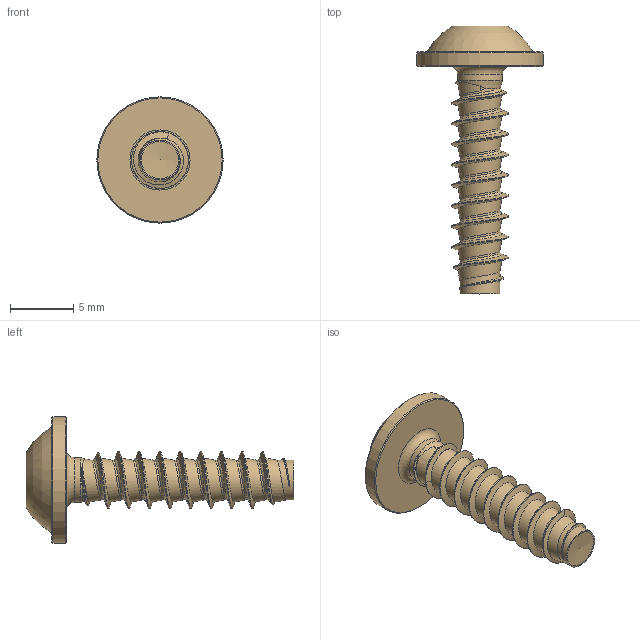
import cadquery as cq
import math


flange_radius = 5.0
flange_thickness = 1.15
flange_edge_chamfer = 0.08
head_height = 3.2
dome_base_radius = 4.17
dome_top_radius = 2.15

shank_length = 18.0
dimple_radius = 1.48
dimple_depth = 0.1
neck_radius = 1.78
neck_fillet = 0.6
neck_length = 1.1
neck_taper_end = 1.76
core_radius = 1.58

pitch = 1.63
crest_radius = 2.25
crest_half_width = 0.03
upper_flank_angle = 20.0
lower_flank_angle = 15.0
buried_radius = 1.5
first_crest_z = 2.08
thread_start_radius = 1.83
thread_start_turn = -0.75
thread_full_turn = 0.5
thread_fade_turn = 8.2
thread_end_turn = 9.55

root_radius = 1.74
foot_start = -0.40
land_start = -0.21
land_end = 0.15
fall_end = 1.08
root_start_turn = -1.0
root_full_turn = -0.75
root_fade_turn = 8.75
root_end_turn = 9.05


def dome_center_height():
    """Axial position of the dome sphere centre, from its base and top circles."""
    base_square = dome_base_radius**2 + flange_thickness**2
    top_square = dome_top_radius**2 + head_height**2
    return (top_square - base_square) / (2 * (head_height - flange_thickness))


def make_blank():
    """Head, neck and core with its dimpled end as one body of revolution."""
    center = dome_center_height()
    sphere_radius = math.hypot(dome_base_radius, flange_thickness - center)
    arc_radius = (dome_base_radius + dome_top_radius) / 2
    arc_height = center + math.sqrt(sphere_radius**2 - arc_radius**2)
    fillet_offset = neck_fillet * (1 - math.sqrt(0.5))
    chamfered_radius = flange_radius - flange_edge_chamfer
    dimple_sphere = (dimple_radius**2 + dimple_depth**2) / (2 * dimple_depth)
    dimple_mid_radius = dimple_radius / 2
    dimple_sag = dimple_sphere - math.sqrt(dimple_sphere**2 - dimple_mid_radius**2)
    dimple_mid_height = shank_length - dimple_depth + dimple_sag
    profile = (
        cq.Workplane("XZ")
        .moveTo(0, -head_height)
        .lineTo(dome_top_radius, -head_height)
        .threePointArc((arc_radius, -arc_height), (dome_base_radius, -flange_thickness))
        .lineTo(chamfered_radius, -flange_thickness)
        .lineTo(flange_radius, flange_edge_chamfer - flange_thickness)
        .lineTo(flange_radius, -flange_edge_chamfer)
        .lineTo(chamfered_radius, 0)
        .lineTo(neck_radius + neck_fillet, 0)
        .threePointArc((neck_radius + fillet_offset, fillet_offset), (neck_radius, neck_fillet))
        .lineTo(neck_radius, neck_length)
        .lineTo(core_radius, neck_taper_end)
        .lineTo(core_radius, shank_length)
        .lineTo(dimple_radius, shank_length)
        .threePointArc((dimple_mid_radius, dimple_mid_height), (0, shank_length - dimple_depth))
        .close()
    )
    return profile.revolve(360, (0, 0, 0), (0, 1, 0))


def helix_edge(axial_offset, start_radius, end_radius, start_turn, end_turn):
    """Cylindrical or conical right-hand helix between two turn counts."""
    turns = end_turn - start_turn
    height = turns * pitch
    taper = math.atan2(end_radius - start_radius, height)
    slant = 1 / math.cos(taper)
    if taper == 0:
        helix = cq.Wire.makeHelix(pitch, height, start_radius)
    else:
        cone_angle = math.degrees(taper)
        helix = cq.Wire.makeHelix(pitch * slant, height * slant, start_radius, angle=cone_angle)
    helix = helix.rotate(cq.Vector(0, 0, 0), cq.Vector(0, 0, 1), 360 * start_turn)
    start_z = first_crest_z + start_turn * pitch + axial_offset
    return helix.translate(cq.Vector(0, 0, start_z)).Edges()[0]


def helical_ridge(profile, stations):
    """Solid ridge following the thread helix.

    profile: closed list of (axial offset, radius) corners.
    stations: (turn, radial shift of the profile) pairs, linear in between.
    """
    faces = []
    for (start_turn, start_shift), (end_turn, end_shift) in zip(stations, stations[1:]):
        edges = [
            helix_edge(offset, radius + start_shift, radius + end_shift, start_turn, end_turn)
            for offset, radius in profile
        ]
        for edge, next_edge in zip(edges, edges[1:] + edges[:1]):
            faces.append(cq.Face.makeRuledSurface(edge, next_edge))
    for turn, shift in (stations[0], stations[-1]):
        corners = []
        for offset, radius in profile:
            angle = 2 * math.pi * turn
            reach = radius + shift
            height = first_crest_z + turn * pitch + offset
            corners.append(cq.Vector(reach * math.cos(angle), reach * math.sin(angle), height))
        faces.append(cq.Face.makeFromWires(cq.Wire.makePolygon(corners, close=True)))
    return cq.Solid.makeSolid(cq.Shell.makeShell(faces))


def make_thread():
    """Sharp thread that emerges below the neck and sinks into the core near the end."""
    depth = crest_radius - buried_radius
    upper_foot = crest_half_width + depth * math.tan(math.radians(upper_flank_angle))
    lower_foot = crest_half_width + depth * math.tan(math.radians(lower_flank_angle))
    profile = [
        (-upper_foot, buried_radius),
        (-crest_half_width, crest_radius),
        (crest_half_width, crest_radius),
        (lower_foot, buried_radius),
    ]
    stations = [
        (thread_start_turn, thread_start_radius - crest_radius),
        (thread_full_turn, 0),
        (thread_fade_turn, 0),
        (thread_end_turn, core_radius - crest_radius),
    ]
    ridge = cq.Workplane(helical_ridge(profile, stations))
    neck_zone = cq.Workplane("XY").circle(crest_radius).extrude(neck_length)
    return ridge.cut(neck_zone)


def make_root():
    """Raised root that carries the thread and falls back to the core each turn."""
    profile = [
        (foot_start, buried_radius),
        (foot_start, core_radius),
        (land_start, root_radius),
        (land_end, root_radius),
        (fall_end, core_radius),
        (fall_end, buried_radius),
    ]
    sunk = core_radius - root_radius
    stations = [
        (root_start_turn, sunk),
        (root_full_turn, 0),
        (root_fade_turn, 0),
        (root_end_turn, sunk),
    ]
    return cq.Workplane(helical_ridge(profile, stations))


screw = make_blank().union(make_root()).union(make_thread())
result = screw.rotate((0, 0, 0), (1, 0, 0), 90)